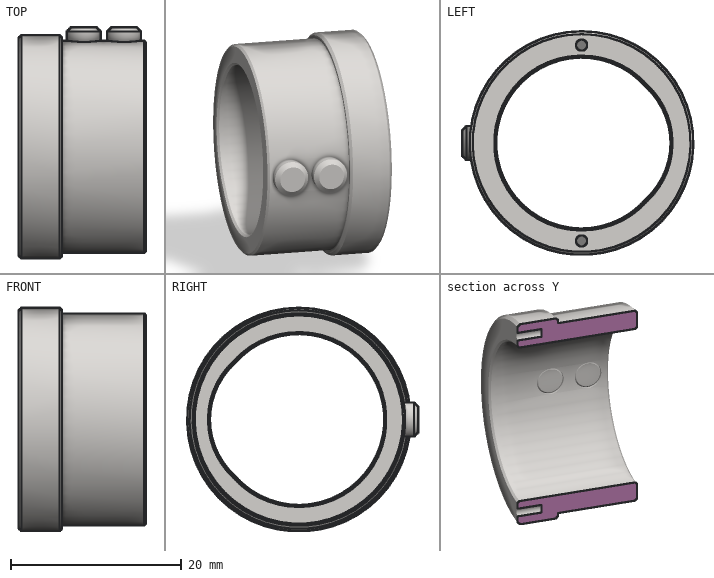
import cadquery as cq

sleeve_length = 15.0
collar_length = 5.1
collar_diameter = 26.3
collar_radius = collar_diameter / 2
barrel_radius = 12.48
bore_radius = 10.05
collar_front_chamfer = 0.35
collar_back_chamfer = 0.3
barrel_chamfer = 0.25
bore_chamfer = 0.25

relief_radius = 9.0
relief_reach = 10.45
relief_offset = relief_reach - relief_radius

face_hole_diameter = 1.3
face_hole_pitch_radius = 11.5
face_hole_depth = 3.0

overall_width = 27.2
screw_radius = 2.0
screw_chamfer = 0.52
screw_top_y = overall_width - collar_radius
screw_length = 4.0
screw_tip_y = screw_top_y - screw_length
tip_opening_radius = 1.65
first_screw_x = 7.67
screw_spacing = 4.73
screw_positions = [first_screw_x, first_screw_x + screw_spacing]


def make_sleeve_blank():
    """Solid collar and barrel, revolved about the X axis."""
    return (
        cq.Workplane("XZ")
        .moveTo(0, 0)
        .lineTo(0, collar_radius - collar_front_chamfer)
        .lineTo(collar_front_chamfer, collar_radius)
        .lineTo(collar_length - collar_back_chamfer, collar_radius)
        .lineTo(collar_length, collar_radius - collar_back_chamfer)
        .lineTo(collar_length, barrel_radius)
        .lineTo(sleeve_length - barrel_chamfer, barrel_radius)
        .lineTo(sleeve_length, barrel_radius - barrel_chamfer)
        .lineTo(sleeve_length, 0)
        .close()
        .revolve(360, (0, 0, 0), (1, 0, 0))
    )


def make_bore(radius, center_y):
    """Through bore along X, widened by a chamfer at both ends."""
    mouth_radius = radius + bore_chamfer
    return (
        cq.Workplane("XZ", origin=(0, center_y, 0))
        .moveTo(0, 0)
        .lineTo(0, mouth_radius)
        .lineTo(bore_chamfer, radius)
        .lineTo(sleeve_length - bore_chamfer, radius)
        .lineTo(sleeve_length, mouth_radius)
        .lineTo(sleeve_length, 0)
        .close()
        .revolve(360, (0, 0, 0), (1, 0, 0))
    )


def make_face_holes():
    return (
        cq.Workplane("YZ")
        .pushPoints([(0, face_hole_pitch_radius), (0, -face_hole_pitch_radius)])
        .circle(face_hole_diameter / 2)
        .extrude(face_hole_depth)
    )


def make_set_screw(x):
    """Plain cylinder along +Y, chamfered equally at its top and its tip."""
    return (
        cq.Workplane("XZ", origin=(x, screw_tip_y, 0))
        .circle(screw_radius)
        .extrude(-screw_length)
        .faces("<Y or >Y")
        .chamfer(screw_chamfer)
    )


def make_tip_openings():
    """Holes from the bore to the screw tips, slightly wider than the tip faces."""
    opening_top_y = screw_tip_y + tip_opening_radius - (screw_radius - screw_chamfer)
    return (
        cq.Workplane("XZ")
        .pushPoints([(x, 0) for x in screw_positions])
        .circle(tip_opening_radius)
        .extrude(-opening_top_y)
    )


def make_sleeve(screws):
    """Sleeve with relieved bore and face holes, and a seat and tip opening for each set screw."""
    sleeve = (
        make_sleeve_blank()
        .cut(make_bore(bore_radius, 0))
        .cut(make_bore(relief_radius, -relief_offset))
        .cut(make_face_holes())
        .cut(make_tip_openings())
    )
    for screw in screws:
        sleeve = sleeve.cut(screw)
    return sleeve


set_screws = [make_set_screw(x) for x in screw_positions]
sleeve = make_sleeve(set_screws)

result = cq.Compound.makeCompound([sleeve.val(), *[screw.val() for screw in set_screws]])